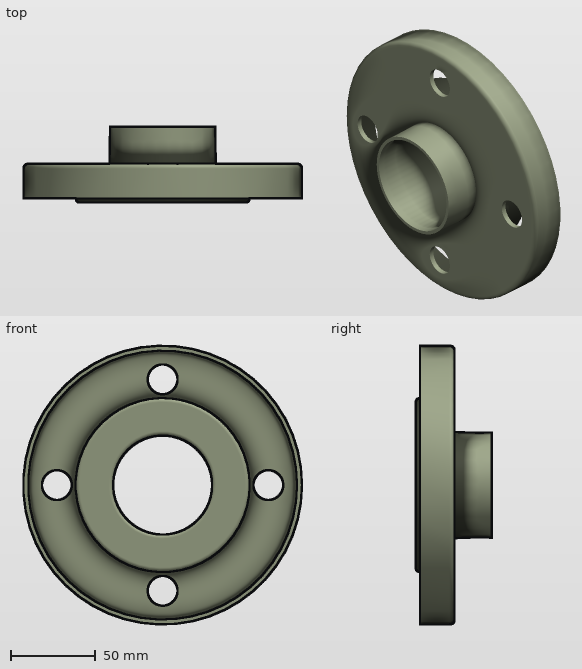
import cadquery as cq

total_length = 45.0
flange_radius = 82.5
rim_inner_radius = 79.5
rim_depth = 20.6
floor_thickness = 3.0
flange_edge_fillet = 3.0

hub_radius = 51.5
hub_protrusion = 2.5
hub_edge_fillet = 2.5

neck_base_radius = 31.5
neck_end_radius = 31.2

bore_radius = 29.2
bore_edge_fillet = 2.5

bolt_count = 4
bolt_circle_radius = 62.5
bolt_hole_radius = 8.7

hub_face_y = -hub_protrusion
flange_back_y = rim_depth
floor_y = flange_back_y - floor_thickness
neck_end_y = hub_face_y + total_length


def make_body():
    """Revolve the half section of dish, hub, neck and bore about Y."""
    back_corner_mid = flange_edge_fillet * (1 - 0.5 ** 0.5)
    hub_corner_mid = hub_edge_fillet * (1 - 0.5 ** 0.5)
    bore_corner_mid = bore_edge_fillet * (1 - 0.5 ** 0.5)
    section = (
        cq.Workplane("XY")
        .moveTo(bore_radius, neck_end_y)
        .lineTo(neck_end_radius, neck_end_y)
        .lineTo(neck_base_radius, flange_back_y)
        .lineTo(flange_radius - flange_edge_fillet, flange_back_y)
        .threePointArc(
            (flange_radius - back_corner_mid, flange_back_y - back_corner_mid),
            (flange_radius, flange_back_y - flange_edge_fillet),
        )
        .lineTo(flange_radius, 0)
        .lineTo(rim_inner_radius, 0)
        .lineTo(rim_inner_radius, floor_y)
        .lineTo(hub_radius, floor_y)
        .lineTo(hub_radius, hub_face_y + hub_edge_fillet)
        .threePointArc(
            (hub_radius - hub_corner_mid, hub_face_y + hub_corner_mid),
            (hub_radius - hub_edge_fillet, hub_face_y),
        )
        .lineTo(bore_radius + bore_edge_fillet, hub_face_y)
        .threePointArc(
            (bore_radius + bore_corner_mid, hub_face_y + bore_corner_mid),
            (bore_radius, hub_face_y + bore_edge_fillet),
        )
        .close()
    )
    return section.revolve(360, (0, 0, 0), (0, 1, 0))


def make_bolt_holes():
    """Cylinders through the dish floor, evenly spaced on the bolt circle."""
    return (
        cq.Workplane("XZ", origin=(0, flange_back_y, 0))
        .polarArray(bolt_circle_radius, 0, 360, bolt_count)
        .circle(bolt_hole_radius)
        .extrude(floor_thickness)
    )


result = make_body().cut(make_bolt_holes())